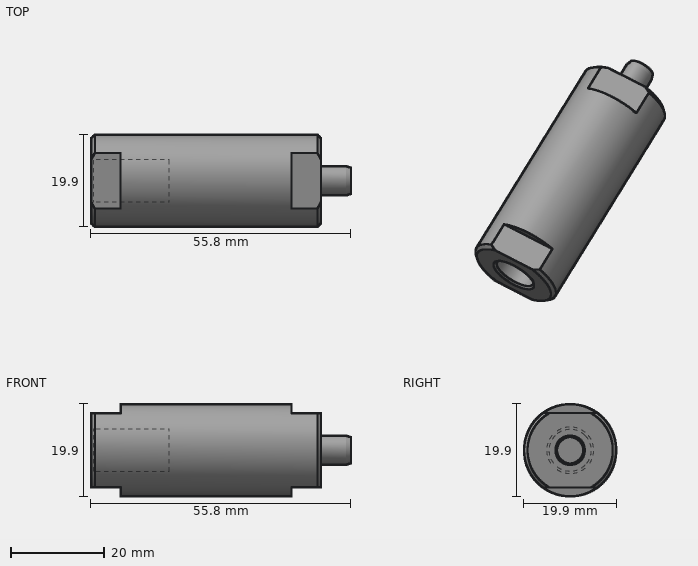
import cadquery as cq

total_length = 55.75
body_length = 49.3
body_diameter = 19.85
body_chamfer = 0.8

flat_length = 6.3
across_flats = 15.9

stud_diameter = 6.3
stud_tip_length = 1.1
stud_tip_inset = 0.35

bore_diameter = 9.05
bore_mouth_diameter = 10.05
bore_depth = 16.75

body_radius = body_diameter / 2
stud_radius = stud_diameter / 2
bore_radius = bore_diameter / 2
bore_mouth_radius = bore_mouth_diameter / 2
bore_chamfer = bore_mouth_radius - bore_radius


def make_turned_part():
    """Revolve the body, stud and bore as one half profile about X."""
    profile = [
        (bore_depth, 0),
        (bore_depth, bore_radius),
        (bore_chamfer, bore_radius),
        (0, bore_mouth_radius),
        (0, body_radius - body_chamfer),
        (body_chamfer, body_radius),
        (body_length - body_chamfer, body_radius),
        (body_length, body_radius - body_chamfer),
        (body_length, stud_radius),
        (total_length - stud_tip_length, stud_radius),
        (total_length, stud_radius - stud_tip_inset),
        (total_length, 0),
    ]
    return cq.Workplane("XY").polyline(profile).close().revolve(360, (0, 0, 0), (1, 0, 0))


def make_flat_cutter(start_x, side):
    """Block that removes the body beyond one flat; side is +1 for top, -1 for bottom."""
    cutter_height = body_radius
    center_z = side * (across_flats + cutter_height) / 2
    return cq.Workplane("XY").box(flat_length, body_diameter, cutter_height).translate(
        (start_x + flat_length / 2, 0, center_z)
    )


result = make_turned_part()
for flat_start in (0, body_length - flat_length):
    for flat_side in (1, -1):
        result = result.cut(make_flat_cutter(flat_start, flat_side))